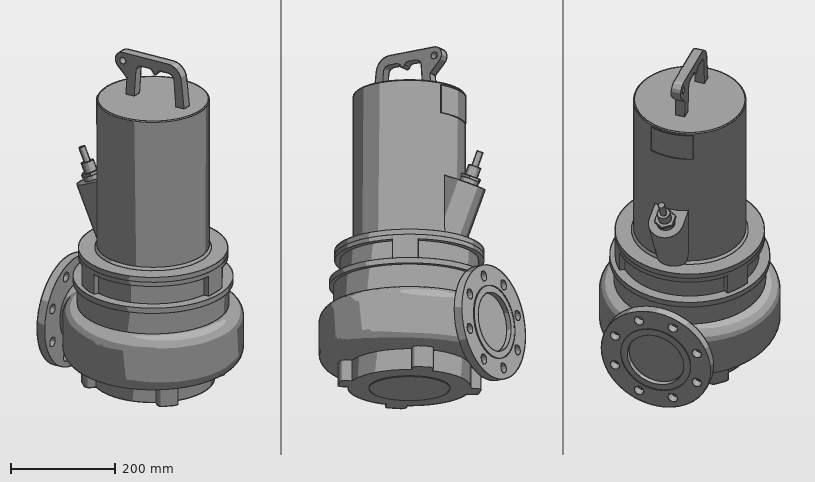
import cadquery as cq
import math

OUTLET_Z = 111.0
FOOT_BOTTOM_Z = 12.0
SEAL_BOTTOM_Z = 215.0
MOTOR_BOTTOM_Z = 275.5
MOTOR_TOP_Z = 597.0
OVERALL_TOP_Z = 682.0

VOLUTE_HEIGHT = 114.5
VOLUTE_BOTTOM_Z = OUTLET_Z - VOLUTE_HEIGHT / 2
VOLUTE_TOP_Z = OUTLET_Z + VOLUTE_HEIGHT / 2
VOLUTE_RADIUS = 173.0
VOLUTE_EDGE_RADIUS = 27.0
NECK_RADIUS = 291.0 / 2
BASE_RADIUS = 118.0
SUCTION_RADIUS = 78.0
SUCTION_LIP = 2.0
FOOT_COUNT = 4
FOOT_REACH = 138.0
FOOT_WIDTH = 41.0
FOOT_CORNER_RADIUS = 10.0

OUTLET_FACE_X = -195.0
OUTLET_PIPE_RADIUS = 56.5
OUTLET_BLEND_RADIUS = 20.5
OUTLET_RECESS_RADIUS = 57.0
OUTLET_RECESS_DEPTH = 10.0
FLANGE_RADIUS = OUTLET_Z
FLANGE_THICKNESS = 18.0
RAISED_FACE_RADIUS = 71.0
RAISED_FACE_HEIGHT = 2.0
BOLT_COUNT = 8
BOLT_CIRCLE_RADIUS = 90.0
BOLT_HOLE_DIAMETER = 19.0

SEAL_FLANGE_RADIUS = 153.5
SEAL_FLANGE_THICKNESS = 11.0
SEAL_RING_RADIUS = 133.0
COVER_RADIUS = 143.0
COVER_THICKNESS = 9.0
LUG_COUNT = 3
LUG_WIDTH = 49.0

MOTOR_RADIUS = 108.0
MOTOR_EDGE_CHAMFER = 2.0
MOTOR_FLANGE_THICKNESS = 10.0
SKIRT_RADIUS = 112.0
SKIRT_HEIGHT = 5.5

ENTRY_TILT = 24.0
ENTRY_X = -135.0
ENTRY_Z = 397.5
ENTRY_RADIUS = 34.0
ENTRY_LENGTH = 164.0
GLAND_SEAT_DIAMETER = 35.5
GLAND_SEAT_LENGTH = 9.5
GLAND_HEX_ACROSS_FLATS = 36.0
GLAND_HEX_LENGTH = 5.5
GLAND_SLEEVE_DIAMETER = 24.5
GLAND_SLEEVE_LENGTH = 20.5
CABLE_DIAMETER = 12.0
CABLE_LENGTH = 30.0

PLATE_WIDTH = 85.0
PLATE_BOTTOM_Z = 535.5
PLATE_TOP_Z = 591.0
PLATE_THICKNESS = 2.0

HANDLE_MIDDLE_X = 10.0
HANDLE_THICKNESS = 19.0
HANDLE_OUTER_HALF = 66.0
HANDLE_INNER_HALF = 47.0
HANDLE_LEAN = 5.0
HANDLE_GRIP_Z = 663.0
HANDLE_SHOULDER_RADIUS = 31.5
HANDLE_INNER_RADIUS = 13.0
EYE_RADIUS = 17.0
EYE_X = -63.0
EYE_HOLE_DIAMETER = 13.5
EYE_NECK_X = -53.0
EYE_NECK_Z = 631.0
NUB_HALF = 5.0
NUB_BASE_Z = 657.5
NUB_TIP_Z = 653.5
NUB_BLEND = 11.5


def disc(radius, bottom_z, top_z):
    """Upright cylinder on the pump axis."""
    return cq.Workplane("XY").workplane(offset=bottom_z).circle(radius).extrude(top_z - bottom_z)


def outlet_disc(radius, start_x, end_x):
    """Cylinder on the outlet axis, running along X."""
    plane = cq.Plane(origin=(start_x, 0, OUTLET_Z), xDir=(0, 1, 0), normal=(1, 0, 0))
    return cq.Workplane(plane).circle(radius).extrude(end_x - start_x)


def make_volute():
    flange_x = OUTLET_FACE_X + RAISED_FACE_HEIGHT
    flange_back_x = flange_x + FLANGE_THICKNESS

    casing = disc(VOLUTE_RADIUS, VOLUTE_BOTTOM_Z, VOLUTE_TOP_Z).edges().fillet(VOLUTE_EDGE_RADIUS)
    pipe_end_x = -VOLUTE_RADIUS / 2
    volute = casing.union(outlet_disc(OUTLET_PIPE_RADIUS, flange_x, pipe_end_x))
    pipe_seam = [
        edge for edge in volute.edges().vals()
        if edge.geomType() == "BSPLINE" and edge.Center().x < pipe_end_x
    ]
    volute = cq.Workplane(volute.val().fillet(OUTLET_BLEND_RADIUS, pipe_seam))

    volute = volute.union(disc(NECK_RADIUS, OUTLET_Z, SEAL_BOTTOM_Z))
    volute = volute.union(disc(BASE_RADIUS, FOOT_BOTTOM_Z, OUTLET_Z))
    volute = volute.union(disc(SUCTION_RADIUS, FOOT_BOTTOM_Z - SUCTION_LIP, OUTLET_Z))
    foot = (
        cq.Workplane("XY").workplane(offset=FOOT_BOTTOM_Z)
        .center(FOOT_REACH / 2, 0)
        .rect(FOOT_REACH, FOOT_WIDTH)
        .extrude(VOLUTE_BOTTOM_Z + 7 - FOOT_BOTTOM_Z)
        .edges("|Z and >X").fillet(FOOT_CORNER_RADIUS)
    )
    for index in range(FOOT_COUNT):
        angle = (index + 0.5) * 360 / FOOT_COUNT
        volute = volute.union(foot.rotate((0, 0, 0), (0, 0, 1), angle))

    volute = volute.union(outlet_disc(FLANGE_RADIUS, flange_x, flange_back_x))
    volute = volute.union(outlet_disc(RAISED_FACE_RADIUS, OUTLET_FACE_X, flange_back_x))
    volute = volute.cut(
        outlet_disc(OUTLET_RECESS_RADIUS, OUTLET_FACE_X, OUTLET_FACE_X + OUTLET_RECESS_DEPTH)
    )
    bolt_plane = cq.Plane(origin=(flange_x, 0, OUTLET_Z), xDir=(0, 1, 0), normal=(1, 0, 0))
    bolt_holes = (
        cq.Workplane(bolt_plane)
        .polarArray(BOLT_CIRCLE_RADIUS, 180 / BOLT_COUNT, 360, BOLT_COUNT)
        .circle(BOLT_HOLE_DIAMETER / 2)
        .extrude(FLANGE_THICKNESS)
    )
    return volute.cut(bolt_holes)


def make_seal_housing():
    flange_top_z = SEAL_BOTTOM_Z + SEAL_FLANGE_THICKNESS
    cover_bottom_z = MOTOR_BOTTOM_Z - COVER_THICKNESS
    housing = disc(SEAL_FLANGE_RADIUS, SEAL_BOTTOM_Z, flange_top_z)
    housing = housing.union(disc(COVER_RADIUS, flange_top_z, MOTOR_BOTTOM_Z))

    recess = disc(SEAL_FLANGE_RADIUS, flange_top_z, cover_bottom_z)
    recess = recess.cut(disc(SEAL_RING_RADIUS, flange_top_z, cover_bottom_z))
    lug = (
        cq.Workplane("XY").workplane(offset=flange_top_z)
        .center(COVER_RADIUS, 0)
        .rect(COVER_RADIUS, LUG_WIDTH)
        .extrude(cover_bottom_z - flange_top_z)
    )
    for index in range(LUG_COUNT):
        recess = recess.cut(lug.rotate((0, 0, 0), (0, 0, 1), index * 360 / LUG_COUNT))
    return housing.cut(recess)


def entry_workplane(distance):
    """Plane across the cable entry axis, at a distance outward from the end of the boss."""
    tilt = math.radians(ENTRY_TILT)
    outward = (-math.sin(tilt), 0, math.cos(tilt))
    origin = (ENTRY_X + distance * outward[0], 0, ENTRY_Z + distance * outward[2])
    toward_motor = (math.cos(tilt), 0, math.sin(tilt))
    return cq.Workplane(cq.Plane(origin=origin, xDir=toward_motor, normal=outward))


def make_motor():
    flange_top_z = MOTOR_BOTTOM_Z + MOTOR_FLANGE_THICKNESS
    skirt_top_z = flange_top_z + SKIRT_HEIGHT
    motor = (
        cq.Workplane("XZ")
        .moveTo(0, MOTOR_BOTTOM_Z)
        .lineTo(COVER_RADIUS, MOTOR_BOTTOM_Z)
        .lineTo(COVER_RADIUS, flange_top_z)
        .lineTo(SKIRT_RADIUS, flange_top_z)
        .lineTo(MOTOR_RADIUS, skirt_top_z)
        .lineTo(MOTOR_RADIUS, MOTOR_TOP_Z - MOTOR_EDGE_CHAMFER)
        .lineTo(MOTOR_RADIUS - MOTOR_EDGE_CHAMFER, MOTOR_TOP_Z)
        .lineTo(0, MOTOR_TOP_Z)
        .close()
        .revolve(360, (0, 0, 0), (0, 1, 0))
    )

    boss_depth = -ENTRY_X / 2
    boss = (
        entry_workplane(-ENTRY_LENGTH)
        .moveTo(boss_depth, -ENTRY_RADIUS)
        .lineTo(0, -ENTRY_RADIUS)
        .threePointArc((-ENTRY_RADIUS, 0), (0, ENTRY_RADIUS))
        .lineTo(boss_depth, ENTRY_RADIUS)
        .close()
        .extrude(ENTRY_LENGTH)
        .intersect(disc(2 * COVER_RADIUS, MOTOR_BOTTOM_Z, MOTOR_TOP_Z))
    )
    return motor.union(boss)


def make_gland():
    hex_start = GLAND_SEAT_LENGTH
    sleeve_start = hex_start + GLAND_HEX_LENGTH
    hex_across_corners = GLAND_HEX_ACROSS_FLATS / math.cos(math.radians(30))
    seat = entry_workplane(0).circle(GLAND_SEAT_DIAMETER / 2).extrude(GLAND_SEAT_LENGTH)
    hexagon = entry_workplane(hex_start).polygon(6, hex_across_corners).extrude(GLAND_HEX_LENGTH)
    sleeve = entry_workplane(sleeve_start).circle(GLAND_SLEEVE_DIAMETER / 2).extrude(GLAND_SLEEVE_LENGTH)
    return seat.union(hexagon).union(sleeve)


def make_cable():
    gland_length = GLAND_SEAT_LENGTH + GLAND_HEX_LENGTH + GLAND_SLEEVE_LENGTH
    return entry_workplane(gland_length).circle(CABLE_DIAMETER / 2).extrude(CABLE_LENGTH)


def make_name_plate():
    """Curved plate lying on the -X side of the motor."""
    shell = disc(MOTOR_RADIUS + PLATE_THICKNESS, PLATE_BOTTOM_Z, PLATE_TOP_Z)
    shell = shell.cut(disc(MOTOR_RADIUS, PLATE_BOTTOM_Z, PLATE_TOP_Z))
    window = (
        cq.Workplane("XY").workplane(offset=PLATE_BOTTOM_Z)
        .center(-MOTOR_RADIUS, 0)
        .rect(MOTOR_RADIUS, PLATE_WIDTH)
        .extrude(PLATE_TOP_Z - PLATE_BOTTOM_Z)
    )
    return shell.intersect(window)


def make_handle():
    """Flat plate standing on the motor, with an arched grip opening and a lifting eye."""
    left_outer_x = HANDLE_MIDDLE_X - HANDLE_OUTER_HALF
    right_outer_x = HANDLE_MIDDLE_X + HANDLE_OUTER_HALF
    eye_z = OVERALL_TOP_Z - EYE_RADIUS

    neck_distance = math.hypot(EYE_NECK_X - EYE_X, EYE_NECK_Z - eye_z)
    neck_angle = math.atan2(EYE_NECK_Z - eye_z, EYE_NECK_X - EYE_X)
    touch_angle = neck_angle - math.acos(EYE_RADIUS / neck_distance)
    touch = (EYE_X + EYE_RADIUS * math.cos(touch_angle), eye_z + EYE_RADIUS * math.sin(touch_angle))

    outline = (
        cq.Workplane("XZ", origin=(0, HANDLE_THICKNESS / 2, 0))
        .moveTo(left_outer_x, MOTOR_TOP_Z)
        .lineTo(EYE_NECK_X, EYE_NECK_Z)
        .lineTo(*touch)
        .threePointArc((EYE_X - EYE_RADIUS, eye_z), (EYE_X, OVERALL_TOP_Z))
        .lineTo(right_outer_x - 2 * HANDLE_LEAN, OVERALL_TOP_Z)
        .lineTo(right_outer_x, MOTOR_TOP_Z)
        .close()
        .extrude(HANDLE_THICKNESS)
        .edges("|Y").edges(">Z").edges(">X").fillet(HANDLE_SHOULDER_RADIUS)
    )

    foot_half = HANDLE_INNER_HALF
    grip_half = HANDLE_INNER_HALF - HANDLE_LEAN
    hollow_end = NUB_HALF + NUB_BLEND
    bend = math.sqrt(0.5)
    hollow_middle = (NUB_HALF + NUB_BLEND * (1 - bend), NUB_BASE_Z + (HANDLE_GRIP_Z - NUB_BASE_Z) * bend)
    opening = (
        cq.Workplane("XZ", origin=(HANDLE_MIDDLE_X, HANDLE_THICKNESS / 2, 0))
        .moveTo(-foot_half, MOTOR_TOP_Z)
        .lineTo(-grip_half, HANDLE_GRIP_Z)
        .lineTo(-hollow_end, HANDLE_GRIP_Z)
        .threePointArc((-hollow_middle[0], hollow_middle[1]), (-NUB_HALF, NUB_BASE_Z))
        .threePointArc((0, NUB_TIP_Z), (NUB_HALF, NUB_BASE_Z))
        .threePointArc(hollow_middle, (hollow_end, HANDLE_GRIP_Z))
        .lineTo(grip_half, HANDLE_GRIP_Z)
        .lineTo(foot_half, MOTOR_TOP_Z)
        .close()
        .extrude(HANDLE_THICKNESS)
        .edges("|Y").edges(">Z").edges("<X or >X").fillet(HANDLE_INNER_RADIUS)
    )
    eye_hole = (
        cq.Workplane("XZ", origin=(EYE_X, HANDLE_THICKNESS / 2, eye_z))
        .circle(EYE_HOLE_DIAMETER / 2)
        .extrude(HANDLE_THICKNESS)
    )
    return outline.cut(opening).cut(eye_hole)


volute = make_volute()
seal_housing = make_seal_housing()
motor = make_motor()
name_plate = make_name_plate()
handle = make_handle()
gland = make_gland()
cable = make_cable()

result = cq.Compound.makeCompound([
    volute.val(),
    seal_housing.val(),
    motor.val(),
    name_plate.val(),
    handle.val(),
    gland.val(),
    cable.val(),
])